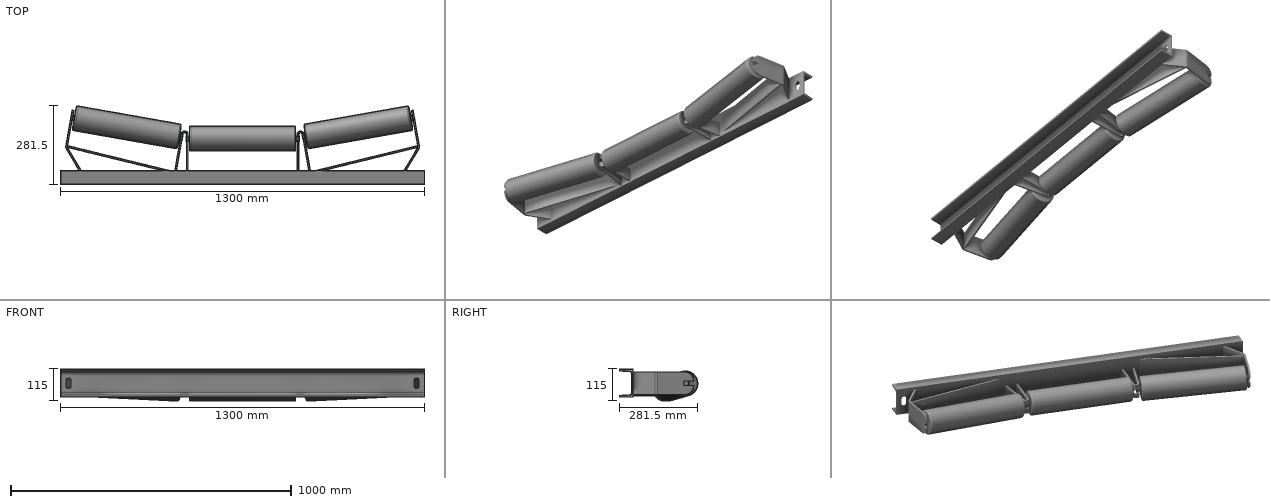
import cadquery as cq
import math


beam_length = 1300.0
beam_height = 100.0
beam_depth = 50.0
web_thickness = 5.0
flange_root_thickness = 9.0
flange_toe_thickness = 6.0
root_radius = 8.0
toe_radius = 4.0
bolt_slot_width = 18.0
bolt_slot_length = 36.0
bolt_slot_end_distance = 29.0

roller_diameter = 90.0
roller_length = 380.0
roller_edge_radius = 5.0
shaft_diameter = 20.0
shaft_flat_width = 15.0
shaft_overhang = 13.0
roller_drop = 20.0
centre_roller_y = 115.0
trough_angle = 10.0
forward_angle = 2.8
wing_middle_x = 413.0
wing_middle_y = 155.0
wing_middle_z = roller_length / 2 * math.sin(math.radians(forward_angle)) - roller_drop

strip_thickness = 6.0
slot_overhang = 2 * shaft_overhang
trough_slope = math.tan(math.radians(trough_angle))

outer_foot_x = 580.0
outer_bend_x = 629.0
outer_bend_y = 83.0
outer_top_y = 216.0
outer_width = 80.0
outer_bend_radius = 10.0
outer_corner_radius = 30.0

inner_leg_x = 198.0
inner_top_y = 138.0
inner_wing_foot_x = 239.0
inner_bend_share = 0.48
inner_width = 52.0

brace_foot_x = 273.0
brace_width = 70.0
brace_end_y = 87.0

trim_margin = 26.0


def make_beam():
    half_height = beam_height / 2
    half_length = beam_length / 2
    profile = [
        (0, -half_height),
        (0, half_height),
        (-beam_depth, half_height),
        (-beam_depth, half_height - flange_toe_thickness),
        (-web_thickness, half_height - flange_root_thickness),
        (-web_thickness, flange_root_thickness - half_height),
        (-beam_depth, flange_toe_thickness - half_height),
        (-beam_depth, -half_height),
    ]
    beam = cq.Workplane("YZ").workplane(offset=-half_length).polyline(profile).close().extrude(beam_length)
    for y, z, radius in [
        (-web_thickness, half_height - flange_root_thickness, root_radius),
        (-beam_depth, half_height - flange_toe_thickness, toe_radius),
    ]:
        beam = beam.edges(cq.selectors.NearestToPointSelector((0, y, z))).fillet(radius)
        beam = beam.edges(cq.selectors.NearestToPointSelector((0, y, -z))).fillet(radius)
    slot_x = beam_length / 2 - bolt_slot_end_distance
    bolt_slots = (
        cq.Workplane("XZ")
        .pushPoints([(-slot_x, 0), (slot_x, 0)])
        .slot2D(bolt_slot_length, bolt_slot_width, 90)
        .extrude(web_thickness)
    )
    return beam.cut(bolt_slots)


def flatted_bar(length):
    """A bar along X, centred on the origin: round with two flats facing along Z."""
    bar = cq.Workplane("YZ").workplane(offset=-length / 2).circle(shaft_diameter / 2).extrude(length)
    return bar.intersect(cq.Workplane("XY").box(length, shaft_diameter, shaft_flat_width))


def make_roller():
    """A roller along X, centred on the origin, with its shaft ends."""
    shell = (
        cq.Workplane("YZ")
        .workplane(offset=-roller_length / 2)
        .circle(roller_diameter / 2)
        .extrude(roller_length)
        .edges()
        .fillet(roller_edge_radius)
    )
    return shell.union(flatted_bar(roller_length + 2 * shaft_overhang))


def place_centre(shape):
    """Move a shape that lies along X to the centre roller's place."""
    return shape.translate((0, centre_roller_y, -roller_drop))


def place_wing(shape):
    """Tilt a shape that lies along X and move it to the +X wing roller's place."""
    return (
        shape.rotate((0, 0, 0), (0, 1, 0), -forward_angle)
        .rotate((0, 0, 0), (0, 0, 1), trough_angle)
        .translate((wing_middle_x, wing_middle_y, wing_middle_z))
    )


def bent_strip(points, radius, width, middle_z):
    """Strip on edge whose middle line runs through the points, with round bends if a radius is given."""
    path = cq.Wire.makePolygon([cq.Vector(x, y, 0) for x, y in points])
    if radius:
        path = path.fillet(radius, path.Vertices()[1:-1])
    section = cq.Plane(
        origin=path.startPoint().toTuple(), xDir=(0, 0, 1), normal=path.tangentAt(0).toTuple()
    )
    strip = cq.Workplane(section).rect(width, strip_thickness).sweep(path)
    return strip.translate((0, 0, middle_z))


def trim_on_web(strip):
    """Remove what lies below the outer face of the web."""
    below = cq.Workplane("XY").box(beam_length, 2 * beam_depth, 2 * beam_height)
    return strip.cut(below.translate((0, -beam_depth, 0)))


def shaft_slots():
    """Cutter for the two shaft ends of a roller along X: as wide as the flats and open upwards."""
    length = roller_length + 2 * slot_overhang
    opening = cq.Workplane("XY").box(
        length, roller_diameter, shaft_flat_width, centered=(True, False, True)
    )
    return flatted_bar(length).union(opening)


def make_outer_bracket():
    foot_slope = (outer_bend_x - outer_foot_x) / outer_bend_y
    points = [
        (outer_foot_x - trim_margin * foot_slope, -trim_margin),
        (outer_bend_x, outer_bend_y),
        (outer_bend_x - (outer_top_y - outer_bend_y) * trough_slope, outer_top_y),
    ]
    bracket = bent_strip(points, outer_bend_radius, outer_width, 0)
    bracket = bracket.faces(">Y").edges("not |Z").edges("<Z or >Z").fillet(outer_corner_radius)
    return trim_on_web(bracket).cut(place_wing(shaft_slots()))


def make_inner_bracket():
    wing_top_x = inner_wing_foot_x - inner_top_y * trough_slope
    points = [
        (inner_leg_x, 0),
        (inner_leg_x, inner_top_y),
        (wing_top_x, inner_top_y),
        (inner_wing_foot_x + trim_margin * trough_slope, -trim_margin),
    ]
    top_bend_radius = inner_bend_share * (wing_top_x - inner_leg_x)
    bracket = trim_on_web(bent_strip(points, top_bend_radius, inner_width, -roller_drop))
    return bracket.cut(place_wing(shaft_slots())).cut(place_centre(shaft_slots()))


def make_brace(bracket):
    slope = (outer_bend_x - brace_foot_x) / brace_end_y
    points = [
        (brace_foot_x - trim_margin * slope, -trim_margin),
        (outer_bend_x, brace_end_y),
    ]
    return trim_on_web(bent_strip(points, None, brace_width, 0)).cut(bracket)


beam = make_beam()
roller = make_roller()
centre_roller = place_centre(roller)
wing_roller = place_wing(roller)
outer_bracket = make_outer_bracket()
inner_bracket = make_inner_bracket()
brace = make_brace(outer_bracket)

bodies = [beam.val(), centre_roller.val()]
for side_body in (wing_roller, outer_bracket, inner_bracket, brace):
    bodies += [side_body.val(), side_body.mirror("YZ").val()]
result = cq.Compound.makeCompound(bodies)